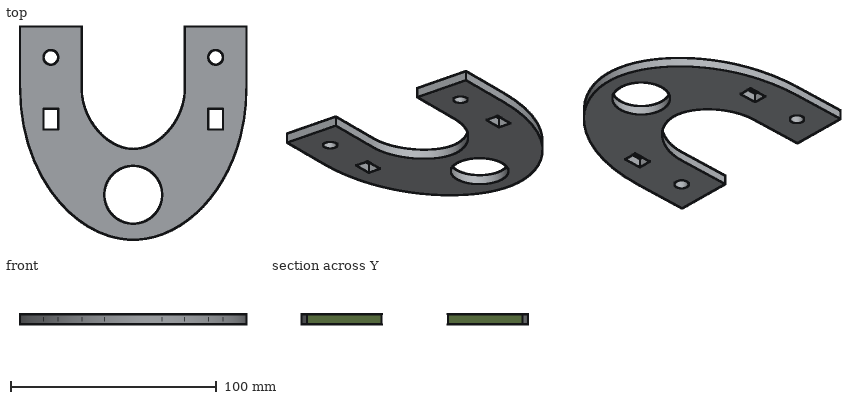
import cadquery as cq

thickness = 5.0
overall_width = 110.0
leg_width = 30.0
leg_length = 30.0
outer_bend_depth = 73.63
inner_bend_depth = 29.4

outer_tangent_handle = 43.0
inner_tangent_handle = 15.5

leg_hole_diameter = 7.0
leg_hole_from_end = 15.0
slot_width = 7.0
slot_length = 10.0
slot_from_end = 45.0
bend_hole_diameter = 28.0
bend_hole_from_end = 81.7

outer_half_width = overall_width / 2
inner_half_width = outer_half_width - leg_width
leg_center_x = outer_half_width - leg_width / 2


def u_profile(half_width, bend_depth, tangent_handle):
    """Solid U: straight sides closed by a smooth bend that starts tangent to them."""
    middle_parameter = 0.5
    end_speed = 3 * tangent_handle / middle_parameter
    return (
        cq.Workplane("XY")
        .moveTo(-half_width, leg_length)
        .lineTo(-half_width, 0)
        .spline(
            [(0, -bend_depth), (half_width, 0)],
            tangents=[(0, -end_speed), (0, end_speed)],
            parameters=[0, middle_parameter, 1],
            scale=False,
            includeCurrent=True,
        )
        .lineTo(half_width, leg_length)
        .close()
        .extrude(thickness)
    )


def leg_cutters(x):
    """Round hole and rectangular slot through the leg centred on x."""
    hole = (
        cq.Workplane("XY")
        .center(x, leg_length - leg_hole_from_end)
        .circle(leg_hole_diameter / 2)
        .extrude(thickness)
    )
    slot = (
        cq.Workplane("XY")
        .center(x, leg_length - slot_from_end)
        .rect(slot_width, slot_length)
        .extrude(thickness)
    )
    return hole.union(slot)


def bend_hole():
    """Large round hole through the web of the bend."""
    return (
        cq.Workplane("XY")
        .center(0, leg_length - bend_hole_from_end)
        .circle(bend_hole_diameter / 2)
        .extrude(thickness)
    )


plate = u_profile(outer_half_width, outer_bend_depth, outer_tangent_handle)
plate = plate.cut(u_profile(inner_half_width, inner_bend_depth, inner_tangent_handle))
for leg_x in (-leg_center_x, leg_center_x):
    plate = plate.cut(leg_cutters(leg_x))

result = plate.cut(bend_hole())